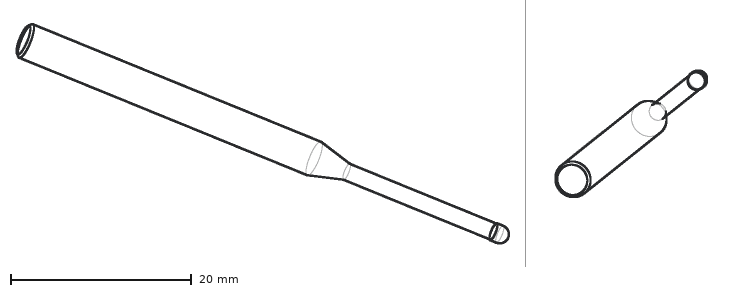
import cadquery as cq

total_length = 60.0
body_length = 36.0
taper_length = 4.0
body_radius = 2.01
neck_radius = 0.95
tip_radius = 1.0
butt_chamfer = 0.3
tip_band_width = 0.8

taper_end = body_length + taper_length
dome_start = total_length - tip_radius
band_start = dome_start - tip_band_width


def make_handle():
    """Thick body with a chamfered butt, tapering down to the neck radius."""
    profile = (
        cq.Workplane("XY")
        .moveTo(0, 0)
        .lineTo(0, body_radius - butt_chamfer)
        .lineTo(butt_chamfer, body_radius)
        .lineTo(body_length, body_radius)
        .lineTo(taper_end, neck_radius)
        .lineTo(taper_end, 0)
        .close()
    )
    return profile.revolve(360, (0, 0, 0), (1, 0, 0))


def make_neck_and_tip():
    """Slender neck ending in a slightly wider band with a hemispherical tip."""
    profile = (
        cq.Workplane("XY")
        .moveTo(taper_end, 0)
        .lineTo(taper_end, neck_radius)
        .lineTo(band_start, neck_radius)
        .lineTo(band_start, tip_radius)
        .lineTo(dome_start, tip_radius)
        .radiusArc((total_length, 0), tip_radius)
        .close()
    )
    return profile.revolve(360, (0, 0, 0), (1, 0, 0))


result = make_handle().union(make_neck_and_tip())